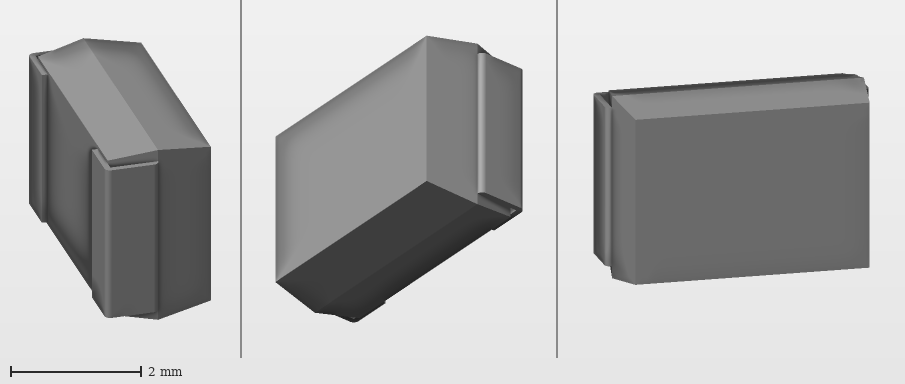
import cadquery as cq

length = 4.19
height = 1.75
width = 2.92

sheet = 0.095
bend_radius = 0.092
terminal_width = 2.54
foot_length = 0.763

draft_inset = 0.14
parting_y = 0.865
case_length = length - 2 * sheet
case_front_y = sheet


def case_half(end_y):
    """Frustum from the parting plane to a smaller face at end_y."""
    return (
        cq.Workplane("XZ", origin=(0, parting_y, 0))
        .rect(case_length, width)
        .workplane(offset=parting_y - end_y)
        .rect(case_length - 2 * draft_inset, width - 2 * draft_inset)
        .loft(ruled=True, combine=True)
    )


def terminal():
    """L-shaped terminal at the -X end, rounded at the bend and the upright's tip."""
    outer_x = -length / 2
    inner_x = outer_x + sheet
    foot_tip_x = outer_x + foot_length
    outline = [
        (outer_x, 0),
        (foot_tip_x, 0),
        (foot_tip_x, sheet),
        (inner_x, sheet),
        (inner_x, parting_y),
        (outer_x, parting_y),
    ]
    return (
        cq.Workplane("XY")
        .polyline(outline)
        .close()
        .extrude(terminal_width / 2, both=True)
        .edges("|Z and <X")
        .fillet(bend_radius)
    )


front_case = case_half(case_front_y)
back_case = case_half(height)

terminals = []
for end_angle in (0, 180):
    terminals.append(terminal().rotate((0, 0, 0), (0, 1, 0), end_angle))

result = cq.Compound.makeCompound(
    [front_case.val(), back_case.val(), *[piece.val() for piece in terminals]]
)